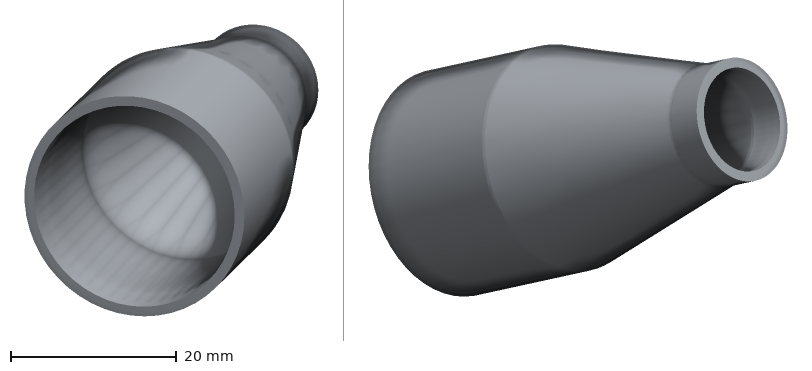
import cadquery as cq
import math

length = 50.8
large_diameter = 27.8
small_diameter = 15.15
wall = 1.2

large_sleeve_length = 20.05
small_sleeve_length = 4.7
large_bend_radius = 2.05
small_bend_radius = 1.2

front_y = -length / 2
back_y = length / 2
cone_start_y = front_y + large_sleeve_length
cone_end_y = back_y - small_sleeve_length

cone_angle = math.atan2((large_diameter - small_diameter) / 2, cone_end_y - cone_start_y)
bore_shift = wall * math.tan(cone_angle / 2)


def reducer_body(large_radius, small_radius, large_corner_y, small_corner_y, large_bend, small_bend):
    """Solid sleeve, cone and sleeve, with both cone junctions rounded."""
    body = (
        cq.Workplane("XY")
        .moveTo(0, front_y)
        .lineTo(large_radius, front_y)
        .lineTo(large_radius, large_corner_y)
        .lineTo(small_radius, small_corner_y)
        .lineTo(small_radius, back_y)
        .lineTo(0, back_y)
        .close()
        .revolve(360, (0, 0, 0), (0, 1, 0))
    )
    large_junction = cq.selectors.BoxSelector(
        (-length, large_corner_y - wall, -length),
        (length, large_corner_y + wall, length),
    )
    small_junction = cq.selectors.BoxSelector(
        (-length, small_corner_y - wall, -length),
        (length, small_corner_y + wall, length),
    )
    body = body.edges(large_junction).fillet(large_bend)
    return body.edges(small_junction).fillet(small_bend)


outside = reducer_body(
    large_diameter / 2,
    small_diameter / 2,
    cone_start_y,
    cone_end_y,
    large_bend_radius,
    small_bend_radius,
)
bore = reducer_body(
    large_diameter / 2 - wall,
    small_diameter / 2 - wall,
    cone_start_y - bore_shift,
    cone_end_y - bore_shift,
    large_bend_radius - wall,
    small_bend_radius + wall,
)

result = outside.cut(bore)